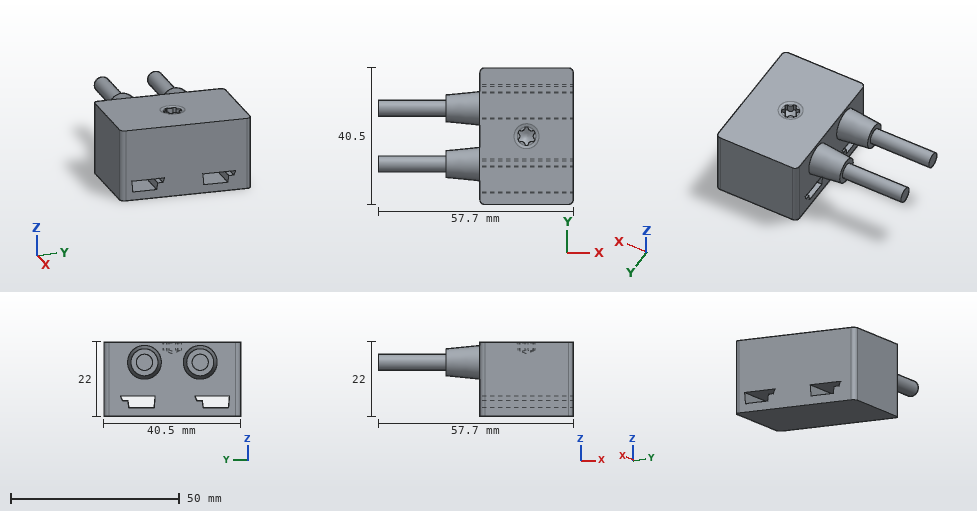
import cadquery as cq
import math

body_length = 27.7
body_width = 40.5
body_height = 22.0
corner_radius = 1.5

cable_diameter = 4.8
cable_length = 20.0
sleeve_length = 10.0
sleeve_base_diameter = 10.0
sleeve_tip_diameter = 8.0
cable_spacing = 16.5
cable_height = 16.0

slot_spacing = 22.0
slot_pair_offset = -0.8
slot_top_width = 10.15
slot_bottom = 2.6
slot_ledge = 4.65
slot_top = 6.0
slot_ledge_width = 1.6
slot_wall_lean = 0.3
slot_lip_lean = 0.55

screw_x = body_length / 2
recess_diameter = 7.4
recess_floor_diameter = 5.5
recess_depth = 0.25
lobe_count = 6
lobe_tip_diameter = 5.4
lobe_valley_diameter = 3.95
lobe_tip_half_angle = 10.0
socket_depth = 2.05
socket_cone_depth = 1.2


def make_body():
    block = cq.Workplane("XY").box(
        body_length, body_width, body_height, centered=(False, True, False)
    )
    return block.edges("|Z").fillet(corner_radius)


def make_cable(y):
    """Cable and sleeve as one revolved profile about the cable axis."""
    cable_radius = cable_diameter / 2
    sleeve_end = -sleeve_length
    cable_end = sleeve_end - cable_length
    profile = [
        (0, 0),
        (0, sleeve_base_diameter / 2),
        (sleeve_end, sleeve_tip_diameter / 2),
        (sleeve_end, cable_radius),
        (cable_end, cable_radius),
        (cable_end, 0),
    ]
    cable = cq.Workplane("XZ").polyline(profile).close().revolve(360, (0, 0), (1, 0))
    return cable.translate((0, y, cable_height))


def make_slot(y):
    """Slot cutter whose top edge is centred on y, with the ledge on its +Y side."""
    ledge_side = y + slot_top_width / 2
    plain_side = y - slot_top_width / 2
    ledge_outer = ledge_side - slot_lip_lean
    ledge_inner = ledge_outer - slot_ledge_width
    outline = [
        (ledge_side, slot_top),
        (ledge_outer, slot_ledge),
        (ledge_inner, slot_ledge),
        (ledge_inner - slot_wall_lean, slot_bottom),
        (plain_side + slot_wall_lean, slot_bottom),
        (plain_side, slot_top),
    ]
    return cq.Workplane("YZ").polyline(outline).close().extrude(body_length)


def polar_point(radius, angle):
    radians = math.radians(angle)
    return (radius * math.cos(radians), radius * math.sin(radians))


def lobed_outline(workplane):
    """Closed lobed outline with one lobe pointing along +Y."""
    tip_radius = lobe_tip_diameter / 2
    valley_radius = lobe_valley_diameter / 2
    pitch = 360 / lobe_count
    first_lobe = 90
    outline = workplane.moveTo(*polar_point(tip_radius, first_lobe - lobe_tip_half_angle))
    for index in range(lobe_count):
        lobe = first_lobe + index * pitch
        next_lobe = lobe + pitch
        outline = outline.threePointArc(
            polar_point(tip_radius, lobe),
            polar_point(tip_radius, lobe + lobe_tip_half_angle),
        )
        outline = outline.threePointArc(
            polar_point(valley_radius, lobe + pitch / 2),
            polar_point(tip_radius, next_lobe - lobe_tip_half_angle),
        )
    return outline.close()


def revolve_about_z(profile):
    return cq.Workplane("XZ").polyline(profile).close().revolve(360, (0, 0), (0, 1))


def make_screw_socket():
    """Shallow conical recess, then a lobed socket ending in a conical bottom."""
    tip_radius = lobe_tip_diameter / 2
    recess_floor = -recess_depth
    cone_rim = recess_floor - socket_depth
    cone_tip = cone_rim - socket_cone_depth
    recess_profile = [
        (0, 0),
        (recess_diameter / 2, 0),
        (recess_floor_diameter / 2, recess_floor),
        (0, recess_floor),
    ]
    recess = revolve_about_z(recess_profile)
    hole_profile = [
        (0, 0),
        (tip_radius, 0),
        (tip_radius, cone_rim),
        (0, cone_tip),
    ]
    drilled_hole = revolve_about_z(hole_profile)
    lobed_prism = lobed_outline(cq.Workplane("XY").workplane(offset=cone_tip))
    lobed_prism = lobed_prism.extrude(-cone_tip)
    socket = recess.union(lobed_prism.intersect(drilled_hole))
    return socket.translate((screw_x, 0, body_height))


result = make_body()
for side in (-1, 1):
    result = result.union(make_cable(side * cable_spacing / 2))
    result = result.cut(make_slot(slot_pair_offset + side * slot_spacing / 2))
result = result.cut(make_screw_socket())